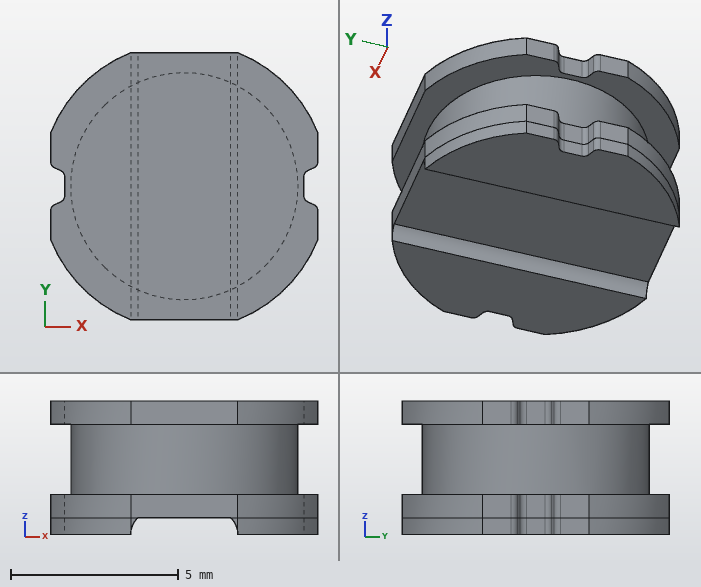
import cadquery as cq
import math

WIDTH = 8.0
HALF_WIDTH = WIDTH / 2
FLAT_LENGTH = 3.2
HALF_FLAT = FLAT_LENGTH / 2
CORNER_RADIUS = math.hypot(HALF_WIDTH, HALF_FLAT)

NOTCH_DEPTH = 0.42
NOTCH_FLOOR_WIDTH = 0.82
NOTCH_SIDE_ANGLE = 25.0
NOTCH_MOUTH_WIDTH = NOTCH_FLOOR_WIDTH + 2 * NOTCH_DEPTH * math.tan(math.radians(NOTCH_SIDE_ANGLE))
NOTCH_ROUNDING = 0.2

TOTAL_HEIGHT = 4.0
TERMINAL_HEIGHT = 0.5
FLANGE_THICKNESS = 0.7
CORE_BOTTOM = TERMINAL_HEIGHT + FLANGE_THICKNESS
TOP_FLANGE_BOTTOM = TOTAL_HEIGHT - FLANGE_THICKNESS
CORE_HEIGHT = TOP_FLANGE_BOTTOM - CORE_BOTTOM

CORE_DIAMETER = 6.8

CHANNEL_WIDTH = FLAT_LENGTH
WALL_RADIUS = 0.7
WALL_ARC_ANGLE = math.asin(TERMINAL_HEIGHT / WALL_RADIUS)


def make_notch_cutter(side, height):
    """Tapered notch prism for the +X (side = 1) or -X (side = -1) flat."""
    mouth_x = side * HALF_WIDTH
    floor_x = side * (HALF_WIDTH - NOTCH_DEPTH)
    return (
        cq.Workplane("XY")
        .moveTo(mouth_x, -NOTCH_MOUTH_WIDTH / 2)
        .lineTo(floor_x, -NOTCH_FLOOR_WIDTH / 2)
        .lineTo(floor_x, NOTCH_FLOOR_WIDTH / 2)
        .lineTo(mouth_x, NOTCH_MOUTH_WIDTH / 2)
        .close()
        .extrude(height)
    )


def make_plate(bottom, height):
    """Plate with the full flange outline, standing on the given Z."""
    disc = cq.Workplane("XY").circle(CORNER_RADIUS).extrude(height)
    square = cq.Workplane("XY").rect(WIDTH, WIDTH).extrude(height)
    plate = disc.intersect(square)
    for side in (-1, 1):
        plate = plate.cut(make_notch_cutter(side, height))

    notch_zone = cq.selectors.BoxSelector(
        (-WIDTH, -NOTCH_MOUTH_WIDTH, -height),
        (WIDTH, NOTCH_MOUTH_WIDTH, 2 * height),
    )
    plate = plate.edges("|Z").edges(notch_zone).fillet(NOTCH_ROUNDING)
    return plate.translate((0, 0, bottom))


def make_core():
    """Round body between the two flanges."""
    return (
        cq.Workplane("XY", origin=(0, 0, CORE_BOTTOM))
        .circle(CORE_DIAMETER / 2)
        .extrude(CORE_HEIGHT)
    )


def wall_point(side, angle):
    """Point (x, z) on the +X or -X channel wall, at an angle up along its arc."""
    inset = WALL_RADIUS * (1 - math.cos(angle))
    return (side * (CHANNEL_WIDTH / 2 - inset), WALL_RADIUS * math.sin(angle))


def make_terminals():
    """Two feet under the bottom flange, left by a curved-wall channel along Y."""
    channel = (
        cq.Workplane("XZ")
        .moveTo(*wall_point(-1, 0))
        .lineTo(*wall_point(1, 0))
        .threePointArc(wall_point(1, WALL_ARC_ANGLE / 2), wall_point(1, WALL_ARC_ANGLE))
        .lineTo(*wall_point(-1, WALL_ARC_ANGLE))
        .threePointArc(wall_point(-1, WALL_ARC_ANGLE / 2), wall_point(-1, 0))
        .close()
        .extrude(HALF_WIDTH, both=True)
    )
    return make_plate(0, TERMINAL_HEIGHT).cut(channel).solids()


terminals = make_terminals()
bottom_flange = make_plate(TERMINAL_HEIGHT, FLANGE_THICKNESS)
core = make_core()
top_flange = make_plate(TOP_FLANGE_BOTTOM, FLANGE_THICKNESS)

result = cq.Compound.makeCompound([
    *terminals.vals(),
    bottom_flange.val(),
    core.val(),
    top_flange.val(),
])